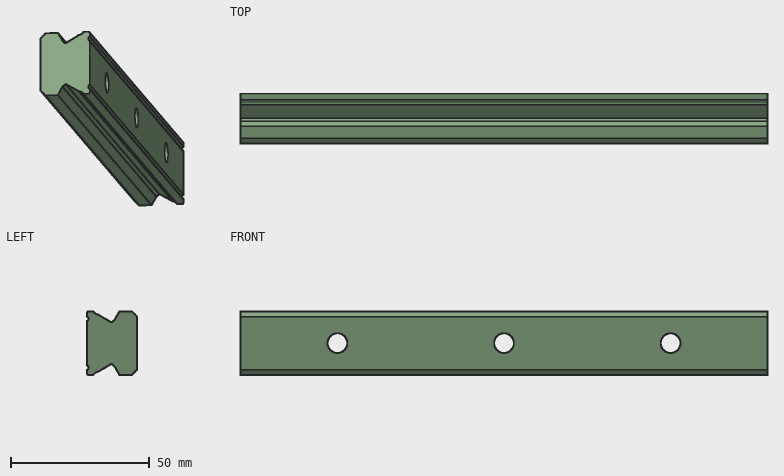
import cadquery as cq

LENGTH = 190.0
WIDTH = 18.0
HEIGHT = 23.0
HALF_WIDTH = WIDTH / 2
HALF_HEIGHT = HEIGHT / 2

FRONT_CHAMFER = 1.9
BACK_EDGE_RADIUS = 0.5
BACK_LAND_WIDTH = 2.3
RACEWAY_WIDTH = 1.7
RACEWAY_DEPTH = 1.1
RACEWAY_SAG = 0.28
GROOVE_DEPTH = 4.0
GROOVE_BOTTOM_Y = 0.2
KNEE_Y = -1.0
KNEE_DEPTH = 3.0
FRONT_LAND_Y = -2.7

BACK_GROOVE_DEPTH = 0.5
BACK_GROOVE_HEIGHT = 1.5
BACK_GROOVE_DROP = 2.7

HOLE_DIAMETER = 7.0
HOLE_PITCH = 60.0
HOLE_COUNT = 3


def upper_half():
    """Half of the rail above its mid-plane, extruded along X."""
    land_end_y = HALF_WIDTH - BACK_LAND_WIDTH
    raceway_end_y = land_end_y - RACEWAY_WIDTH
    raceway_mid = (
        (land_end_y + raceway_end_y) / 2,
        HALF_HEIGHT - RACEWAY_DEPTH / 2 - RACEWAY_SAG,
    )
    back_groove_z = HALF_HEIGHT - BACK_GROOVE_DROP
    half_groove = BACK_GROOVE_HEIGHT / 2
    return (
        cq.Workplane("YZ", origin=(-LENGTH / 2, 0, 0))
        .moveTo(-HALF_WIDTH, 0)
        .lineTo(-HALF_WIDTH, HALF_HEIGHT - FRONT_CHAMFER)
        .lineTo(-HALF_WIDTH + FRONT_CHAMFER, HALF_HEIGHT)
        .lineTo(FRONT_LAND_Y, HALF_HEIGHT)
        .lineTo(KNEE_Y, HALF_HEIGHT - KNEE_DEPTH)
        .lineTo(GROOVE_BOTTOM_Y, HALF_HEIGHT - GROOVE_DEPTH)
        .lineTo(raceway_end_y, HALF_HEIGHT - RACEWAY_DEPTH)
        .threePointArc(raceway_mid, (land_end_y, HALF_HEIGHT))
        .lineTo(HALF_WIDTH - BACK_EDGE_RADIUS, HALF_HEIGHT)
        .tangentArcPoint((HALF_WIDTH, HALF_HEIGHT - BACK_EDGE_RADIUS), relative=False)
        .lineTo(HALF_WIDTH, back_groove_z + half_groove)
        .threePointArc(
            (HALF_WIDTH - BACK_GROOVE_DEPTH, back_groove_z),
            (HALF_WIDTH, back_groove_z - half_groove),
        )
        .lineTo(HALF_WIDTH, 0)
        .close()
        .extrude(LENGTH)
    )


def mounting_holes():
    """Row of evenly spaced cylinders crossing the full width."""
    return (
        cq.Workplane("XZ")
        .rarray(HOLE_PITCH, 1.9, HOLE_COUNT, 1)
        .circle(HOLE_DIAMETER / 2)
        .extrude(WIDTH, both=True)
    )


top_half = upper_half()
rail = top_half.union(top_half.mirror("XY")).clean()
result = rail.cut(mounting_holes())